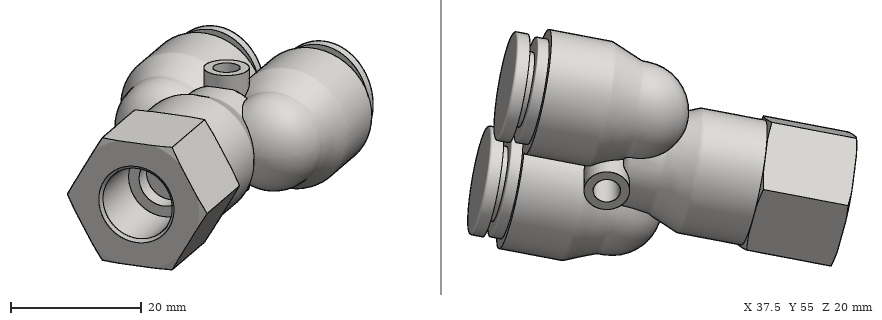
import cadquery as cq
import math


NUT_LENGTH = 13.95
FORK_Y = 34.05
BARREL_MOUTH_Y = 50.0
TOTAL_LENGTH = 55.0

BARREL_RADIUS = 19.5 / 2
NECK_RADIUS = 15.4 / 2
CONE_LENGTH = 5.05
BARREL_NECK_LENGTH = 0.95
STEM_END_Y = 35.05
STEM_SHOULDER_Y = 24.0
EDGE_FILLET = 1.0
PORT_SPACING = 18.0
PORT_OFFSETS = (-PORT_SPACING / 2, PORT_SPACING / 2)

EYE_RADIUS = 7.0 / 2
EYE_HOLE_RADIUS = 4.2 / 2
EYE_Y = 36.95
EYE_HEIGHT = 2 * BARREL_RADIUS

NUT_ACROSS_FLATS = 20.0
NUT_ACROSS_CORNERS = NUT_ACROSS_FLATS / math.cos(math.radians(30))
NUT_FACE_RADIUS = 20.8 / 2
NUT_CORNER_DROP = 0.35
BORE_RADIUS = 11.45 / 2
BORE_DEPTH = 11.0
BORE_CHAMFER = 0.5
PASSAGE_RADIUS = 8.0 / 2

COLLAR_RADIUS = 16.5 / 2
COLLAR_LENGTH = 1.75
COLLAR_FILLET = 0.15
SLEEVE_NECK_RADIUS = 11.7 / 2
FLANGE_HALF_WIDTH = 16.15 / 2
FLANGE_HALF_HEIGHT = 18.6 / 2
FLANGE_THICKNESS = 2.05
FLANGE_FILLET = 0.35
COLLAR_END_Y = BARREL_MOUTH_Y + COLLAR_LENGTH


def plane_facing_y(x, y):
    """Sketch plane through (x, y, 0) whose normal is +Y."""
    return cq.Workplane(cq.Plane(origin=(x, y, 0), xDir=(1, 0, 0), normal=(0, 1, 0)))


def revolve_around_y(profile):
    return profile.close().revolve(360, (0, 0, 0), (0, 1, 0))


def fillet_rims(body, low_y, high_y):
    """Round the circular edges whose centres lie between two stations along Y."""
    rims = body.edges("%CIRCLE").filter(lambda edge: low_y < edge.Center().y < high_y)
    return rims.fillet(EDGE_FILLET)


def make_stem():
    """Round branch that carries the nut: straight, cone, neck and flat inner end."""
    cone_end_y = STEM_SHOULDER_Y + CONE_LENGTH
    profile = (
        cq.Workplane("XY")
        .moveTo(0, NUT_LENGTH)
        .lineTo(BARREL_RADIUS, NUT_LENGTH)
        .lineTo(BARREL_RADIUS, STEM_SHOULDER_Y)
        .lineTo(NECK_RADIUS, cone_end_y)
        .lineTo(NECK_RADIUS, STEM_END_Y)
        .lineTo(0, STEM_END_Y)
    )
    return fillet_rims(revolve_around_y(profile), NUT_LENGTH + EDGE_FILLET, TOTAL_LENGTH)


def make_barrel():
    """Round branch for one tube, on the Y axis: ball end, short neck, cone and straight barrel."""
    cone_start_y = FORK_Y + BARREL_NECK_LENGTH
    cone_end_y = cone_start_y + CONE_LENGTH
    diagonal = NECK_RADIUS * math.sqrt(0.5)
    profile = (
        cq.Workplane("XY")
        .moveTo(0, FORK_Y - NECK_RADIUS)
        .threePointArc((diagonal, FORK_Y - diagonal), (NECK_RADIUS, FORK_Y))
        .lineTo(NECK_RADIUS, cone_start_y)
        .lineTo(BARREL_RADIUS, cone_end_y)
        .lineTo(BARREL_RADIUS, BARREL_MOUTH_Y)
        .lineTo(0, BARREL_MOUTH_Y)
    )
    return fillet_rims(revolve_around_y(profile), FORK_Y + EDGE_FILLET / 2, BARREL_MOUTH_Y - EDGE_FILLET)


def make_housing():
    body = make_stem()
    barrel = make_barrel()
    for x in PORT_OFFSETS:
        body = body.union(barrel.translate((x, 0, 0)))
    eye = cq.Workplane("XY").center(0, EYE_Y)
    body = body.union(eye.circle(EYE_RADIUS).extrude(EYE_HEIGHT / 2, both=True))
    return body.cut(eye.circle(EYE_HOLE_RADIUS).extrude(EYE_HEIGHT, both=True))


def make_nut():
    hexagon = plane_facing_y(0, 0).polygon(6, NUT_ACROSS_CORNERS).extrude(NUT_LENGTH)
    corner_radius = NUT_ACROSS_CORNERS / 2
    blank = (
        plane_facing_y(0, 0)
        .circle(corner_radius)
        .extrude(NUT_LENGTH)
        .faces("<Y or >Y")
        .chamfer(NUT_CORNER_DROP, corner_radius - NUT_FACE_RADIUS)
    )
    bore = plane_facing_y(0, 0).circle(BORE_RADIUS).extrude(BORE_DEPTH)
    passage = plane_facing_y(0, 0).circle(PASSAGE_RADIUS).extrude(NUT_LENGTH)
    mouth = cq.Solid.makeCone(
        BORE_RADIUS + BORE_CHAMFER, BORE_RADIUS, BORE_CHAMFER, cq.Vector(0, 0, 0), cq.Vector(0, 1, 0)
    )
    return hexagon.intersect(blank).cut(bore).cut(passage).cut(cq.Workplane(mouth))


def make_collar(x):
    disc = plane_facing_y(x, BARREL_MOUTH_Y).circle(COLLAR_RADIUS).extrude(COLLAR_LENGTH)
    return disc.faces(">Y").edges().fillet(COLLAR_FILLET)


def make_sleeve(x):
    """Release sleeve: round neck standing on the collar, with an oval flange for pressing."""
    flange_y = TOTAL_LENGTH - FLANGE_THICKNESS
    flange = (
        plane_facing_y(x, flange_y)
        .ellipse(FLANGE_HALF_WIDTH, FLANGE_HALF_HEIGHT)
        .extrude(FLANGE_THICKNESS)
        .faces(">Y")
        .edges()
        .fillet(FLANGE_FILLET)
    )
    neck = plane_facing_y(x, COLLAR_END_Y).circle(SLEEVE_NECK_RADIUS).extrude(flange_y - COLLAR_END_Y)
    return flange.union(neck)


housing = make_housing()
nut = make_nut()
collars = [make_collar(x) for x in PORT_OFFSETS]
sleeves = [make_sleeve(x) for x in PORT_OFFSETS]

result = cq.Compound.makeCompound(
    [body.solids().val() for body in (housing, nut, *collars, *sleeves)]
)